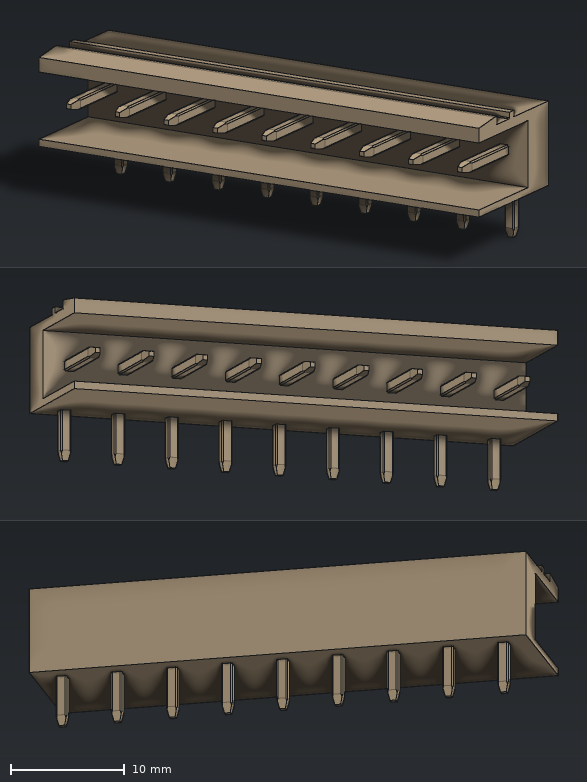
import cadquery as cq
import math

length = 45.0
depth = 12.0
height = 13.0
pin_count = 9
pin_pitch = length / pin_count

body_height = 7.75
floor_thickness = 0.68
channel_depth = 8.45
channel_top = 6.8

rib_front = 5.25
rib_width = 0.75
rib_foot = 0.1
rib_top = 8.32
latch_back = 3.1
latch_flat = 0.35
latch_top = 8.5
latch_front_top = 8.15

pin_width = 1.0
pin_chamfer = 0.15
contact_height = 3.8
contact_tip = 0.9
contact_taper = 1.25
contact_end_width = 0.45
tail_y = 9.9
tail_tip = latch_top - height
tail_taper = 0.9
tail_end_width = 0.55


def make_housing():
    """Channel-shaped strip with a solid rear block, a key rib and a sloped latch ridge."""
    rib_back = rib_front + rib_width
    outline = [
        (0, 0),
        (depth, 0),
        (depth, body_height),
        (rib_back, body_height),
        (rib_back, rib_top),
        (rib_front, rib_top),
        (rib_front, body_height + rib_foot),
        (rib_front - rib_foot, body_height),
        (latch_back, body_height),
        (latch_back, latch_top),
        (latch_back - latch_flat, latch_top),
        (0, latch_front_top),
        (0, channel_top),
        (channel_depth, channel_top),
        (channel_depth, floor_thickness),
        (0, floor_thickness),
    ]
    return cq.Workplane("YZ").polyline(outline).close().extrude(length)


def make_tip_cutter(taper_length, end_width):
    """Square collar that leaves a four-sided taper, narrowing along +Z to its end at the origin."""
    taper_angle = math.degrees(math.atan((pin_width - end_width) / 2 / taper_length))
    tip = cq.Workplane("XY").rect(pin_width, pin_width).extrude(taper_length, taper=taper_angle)
    block = cq.Workplane("XY").rect(2 * pin_width, 2 * pin_width).extrude(taper_length)
    return block.cut(tip).translate((0, 0, -taper_length))


def make_pin():
    """Right-angled pin on X = 0 with chamfered long edges and a tapered tip on both ends."""
    path = (
        cq.Workplane("YZ")
        .moveTo(contact_tip, contact_height)
        .lineTo(tail_y, contact_height)
        .lineTo(tail_y, tail_tip)
    )
    half = pin_width / 2
    flat = half - pin_chamfer
    section = [
        (half, flat), (flat, half), (-flat, half), (-half, flat),
        (-half, -flat), (-flat, -half), (flat, -half), (half, -flat),
    ]
    start = cq.Plane(origin=(0, contact_tip, contact_height), xDir=(1, 0, 0), normal=(0, 1, 0))
    bar = cq.Workplane(start).polyline(section).close().sweep(path, transition="right")

    contact_cutter = (
        make_tip_cutter(contact_taper, contact_end_width)
        .rotate((0, 0, 0), (1, 0, 0), 90)
        .translate((0, contact_tip, contact_height))
    )
    tail_cutter = (
        make_tip_cutter(tail_taper, tail_end_width)
        .rotate((0, 0, 0), (1, 0, 0), 180)
        .translate((0, tail_y, tail_tip))
    )
    return bar.cut(contact_cutter).cut(tail_cutter)


pin = make_pin()
pins = [pin.translate(((index + 0.5) * pin_pitch, 0, 0)) for index in range(pin_count)]

housing = make_housing()
for placed_pin in pins:
    housing = housing.cut(placed_pin)

result = cq.Compound.makeCompound([
    housing.solids().val(),
    *[placed_pin.solids().val() for placed_pin in pins],
])